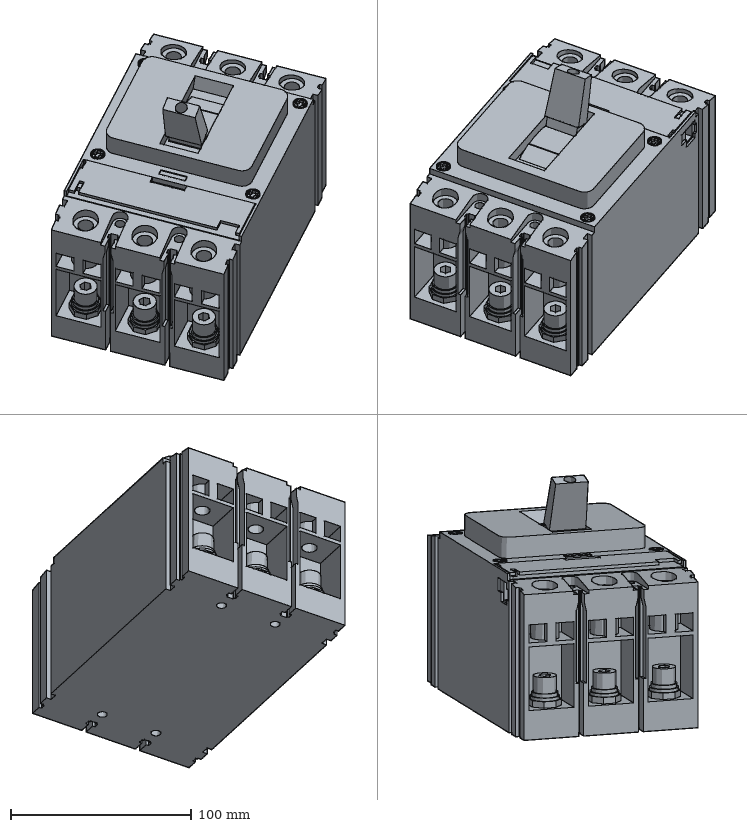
import cadquery as cq
import math


LENGTH = 165.0
WIDTH = 105.0
POLE_PITCH = WIDTH / 3
POLE_XS = (-POLE_PITCH, 0, POLE_PITCH)
GAP_XS = (-POLE_PITCH / 2, POLE_PITCH / 2)
EDGE_XS = (-WIDTH / 2, WIDTH / 2)
ENDS = (-1, 1)

DECK_Z = 90.0
DECK_HALF_LENGTH = 57.8
SHELF_Z = 86.0
SLOPE_START_Y = 65.0
END_Z = 82.8

PEDESTAL_WIDTH = 85.8
PEDESTAL_BACK_Y = 47.5
PEDESTAL_FRONT_Y = -20.8
PEDESTAL_TOP_Z = 102.0
PEDESTAL_CORNER_R = 6.0
WINDOW_WIDTH = 22.6
WINDOW_BACK_Y = 41.2
WINDOW_FRONT_Y = -15.8
WINDOW_SLOPE_RUN = 3.5
WINDOW_FLOOR_Z = 94.9

SLOT_WIDTH = 2.8
SLOT_LENGTH = 7.0
TEE_WIDTH = 6.0
TEE_LENGTH = 2.6
TIP_WIDTH = 4.0
TIP_LENGTH = 1.0
FIXING_Y = 63.0
FIXING_HOLE_D = 5.5
SIDE_GROOVE_LENGTH = 4.6
SIDE_GROOVE_DEPTH = 3.0
TROUGH_WIDTH = 8.7
TROUGH_FLOOR_Z = 80.8
BARRIER_WIDTH = 6.0
BARRIER_LENGTH = 5.5
BARRIER_FLOOR_Z = 30.2
BARRIER_SHOULDER_Z = 71.0
BARRIER_NECK_Z = 75.9
BARRIER_NECK_WIDTH = 3.6

TERMINAL_Y = 71.0
POCKET_WIDTH = 26.4
POCKET_DEPTH = 21.5
POCKET_FLOOR_Z = 16.8
POCKET_TOP_Z = 53.0
PORT_FLOOR_Z = 55.3
PORT_TOP_Z = 65.5
PORT_RIB_WIDTH = 5.5
COLUMN_R = 8.0
BORE_R = 4.3
COUNTERBORE_R = 7.1
COUNTERBORE_FLOOR_Z = 81.0
COLLAR_SIDES = 8
COLLAR_D = 18.5
COLLAR_TOP_Z = 20.5
WASHER_R = 8.1
WASHER_TOP_Z = 22.3
SPRING_R = 7.3
SPRING_TOP_Z = 24.5
STUD_R = 6.5
STUD_TOP_Z = 33.7
SOCKET_D = 6.6
SOCKET_DEPTH = 6.6

SCREW_XS = (-45.0, 46.7)
SCREW_YS = (-24.0, 52.3)
SCREW_R = 4.0
SCREW_RIM = 0.58
SCREW_RIM_DEPTH = 0.7
CROSS_SPAN = 5.0
CROSS_WIDTH = 2.1
CROSS_DEPTH = 2.0
LABEL_LENGTH = 15.5
LABEL_WIDTH = 3.5
LABEL_Y = -25.4
LABEL_DEPTH = 0.7

BAY_WIDTH = 102.0
BAY_BACK_Y = -30.7
BAY_FLOOR_Z = 86.5
COVER_THICKNESS = 1.8
COVER_BOTTOM_Z = DECK_Z - COVER_THICKNESS
COVER_FRONT_Y = -56.1
COVER_SIDE_GAP = 0.5
LATCH_NOTCH_WIDTH = 20.3
LATCH_NOTCH_LENGTH = 4.0
LATCH_WIDTH = 4.1
LATCH_R = 2.0
LATCH_TOP_Z = 87.8
EDGE_NOTCH_WIDTH = 1.8
EDGE_NOTCH_BACK_Y = -31.7
EDGE_NOTCH_LENGTH = 5.8
GUIDE_X = -45.9
GUIDE_WIDTH = 2.5
GUIDE_SLOT_BACK_Y = -47.5
GUIDE_BACK_Y = -48.2
GUIDE_LENGTH = 3.6
GUIDE_TOP_Z = 89.1
CORNER_NOTCH_X = 42.7
CORNER_NOTCH_WIDTH = 11.0
CORNER_NOTCH_BACK_Y = -50.0

CLIP_DEPTH = 1.3
CLIP_POCKET_DEPTH = 5.6
CLIP_TOP_Z = 84.3
CLIP_BACK_Y = -41.7
CLIP_FRONT_Y = -56.8
CLIP_STEP_Y = -47.2
CLIP_STEP_Z = 76.9
CLIP_BOTTOM_Z = 71.8
CLIP_EAR_Y = -58.5
CLIP_EAR_TOP_Z = 80.8
CLIP_EAR_BOTTOM_Z = 74.5
CLIP_RIM = 1.2

PIVOT_Y = 12.4
PIVOT_Z = 51.2
TILT = 17.2
DRUM_R = 47.4
DRUM_WIDTH = 20.0
SHIELD_R = 47.8
SHIELD_FRONT_Y = 20.8
LEVER_BASE_R = 53.5
LEVER_TOP_R = 82.8
NECK_START_R = 46.2
LEVER_BASE_WIDTH = 21.5
LEVER_BASE_THICKNESS = 9.9
LEVER_TOP_WIDTH = 19.1
LEVER_TOP_THICKNESS = 7.8
LEVER_HOLE_R = 3.3
LEVER_HOLE_DEPTH = 13.2


def block(x0, x1, y0, y1, z0, z1):
    """Axis-aligned box between opposite corners, given in any order."""
    size = (abs(x1 - x0), abs(y1 - y0), abs(z1 - z0))
    middle = ((x0 + x1) / 2, (y0 + y1) / 2, (z0 + z1) / 2)
    return cq.Workplane("XY").box(*size).translate(middle)


def bar(x, width, y0, y1, z0, z1):
    """Box of the given width centred on x."""
    return block(x - width / 2, x + width / 2, y0, y1, z0, z1)


def cylinder(x, y, radius, z0, z1):
    """Upright cylinder."""
    return cq.Workplane("XY", origin=(x, y, z0)).circle(radius).extrude(z1 - z0)


def profile_yz(points, width):
    """Prism of a YZ outline, centred on x = 0."""
    return cq.Workplane("YZ").polyline(points).close().extrude(width / 2, both=True)


def case_block():
    """Case with a raised deck, lower shelves and sloped terminal tops."""
    half = [
        (LENGTH / 2, 0),
        (LENGTH / 2, END_Z),
        (SLOPE_START_Y, SHELF_Z),
        (DECK_HALF_LENGTH, SHELF_Z),
        (DECK_HALF_LENGTH, DECK_Z),
    ]
    mirrored = [(-y, z) for y, z in reversed(half)]
    return profile_yz(half + mirrored, WIDTH)


def pedestal():
    """Rounded pedestal on the deck."""
    body = bar(0, PEDESTAL_WIDTH, PEDESTAL_FRONT_Y, PEDESTAL_BACK_Y, DECK_Z, PEDESTAL_TOP_Z)
    return body.edges("|Z").fillet(PEDESTAL_CORNER_R)


def toggle_window():
    """Toggle window, narrowing towards its floor at both ends."""
    outline = [
        (WINDOW_FRONT_Y, PEDESTAL_TOP_Z),
        (WINDOW_FRONT_Y + WINDOW_SLOPE_RUN, WINDOW_FLOOR_Z),
        (WINDOW_BACK_Y - WINDOW_SLOPE_RUN, WINDOW_FLOOR_Z),
        (WINDOW_BACK_Y, PEDESTAL_TOP_Z),
    ]
    return profile_yz(outline, WINDOW_WIDTH)


def tee_slot(x, end):
    """Full-height T-shaped slot running in from an end face."""
    slot_y = LENGTH / 2 - SLOT_LENGTH
    tee_y = slot_y - TEE_LENGTH
    tip_y = tee_y - TIP_LENGTH
    slot = bar(x, SLOT_WIDTH, end * slot_y, end * LENGTH / 2, 0, DECK_Z)
    tee = bar(x, TEE_WIDTH, end * tee_y, end * slot_y, 0, DECK_Z)
    tip = bar(x, TIP_WIDTH, end * tip_y, end * tee_y, 0, DECK_Z)
    return slot.union(tee).union(tip)


def barrier_widening(x, end):
    """Wider stretch of the slot between two poles, tapered at its top."""
    outline = [
        (x - BARRIER_WIDTH / 2, BARRIER_FLOOR_Z),
        (x + BARRIER_WIDTH / 2, BARRIER_FLOOR_Z),
        (x + BARRIER_WIDTH / 2, BARRIER_SHOULDER_Z),
        (x + BARRIER_NECK_WIDTH / 2, BARRIER_NECK_Z),
        (x + BARRIER_NECK_WIDTH / 2, TROUGH_FLOOR_Z),
        (x - BARRIER_NECK_WIDTH / 2, TROUGH_FLOOR_Z),
        (x - BARRIER_NECK_WIDTH / 2, BARRIER_NECK_Z),
        (x - BARRIER_WIDTH / 2, BARRIER_SHOULDER_Z),
    ]
    plane = cq.Workplane("XZ", origin=(0, end * LENGTH / 2, 0))
    return plane.polyline(outline).close().extrude(end * BARRIER_LENGTH)


def fixing_gap(x, end):
    """Fixing hole in a round-ended trough between two poles."""
    hole = cylinder(x, end * FIXING_Y, FIXING_HOLE_D / 2, 0, DECK_Z)
    trough_end = cylinder(x, end * FIXING_Y, TROUGH_WIDTH / 2, TROUGH_FLOOR_Z, DECK_Z)
    trough = bar(x, TROUGH_WIDTH, end * FIXING_Y, end * LENGTH / 2, TROUGH_FLOOR_Z, DECK_Z)
    return hole.union(trough_end).union(trough)


def side_groove(x, end):
    """Full-height groove in a side, level with the fixing holes."""
    inner_y = FIXING_Y - SIDE_GROOVE_LENGTH / 2
    outer_y = FIXING_Y + SIDE_GROOVE_LENGTH / 2
    return bar(x, 2 * SIDE_GROOVE_DEPTH, end * inner_y, end * outer_y, 0, DECK_Z)


def terminal_cavity(x, end):
    """Wiring pocket, the two ports above it and the stepped screwdriver bore."""
    y = end * TERMINAL_Y
    outer_y = end * LENGTH / 2
    inner_y = end * (LENGTH / 2 - POCKET_DEPTH)
    pocket = bar(x, POCKET_WIDTH, inner_y, outer_y, POCKET_FLOOR_Z, POCKET_TOP_Z)
    ports = (
        bar(x, POCKET_WIDTH, inner_y, outer_y, PORT_FLOOR_Z, PORT_TOP_Z)
        .cut(bar(x, PORT_RIB_WIDTH, y, outer_y, PORT_FLOOR_Z, PORT_TOP_Z))
        .cut(cylinder(x, y, COLUMN_R, PORT_FLOOR_Z, PORT_TOP_Z))
    )
    bore = cylinder(x, y, BORE_R, POCKET_TOP_Z, DECK_Z)
    counterbore = cylinder(x, y, COUNTERBORE_R, COUNTERBORE_FLOOR_Z, DECK_Z)
    return pocket.union(ports).union(bore).union(counterbore)


def terminal_stud(x, end):
    """Socket-head stud with collar and washers, standing on the pocket floor."""
    y = end * TERMINAL_Y
    collar = (
        cq.Workplane("XY", origin=(x, y, POCKET_FLOOR_Z))
        .transformed(rotate=(0, 0, 180 / COLLAR_SIDES))
        .polygon(COLLAR_SIDES, COLLAR_D)
        .extrude(COLLAR_TOP_Z - POCKET_FLOOR_Z)
    )
    socket = (
        cq.Workplane("XY", origin=(x, y, STUD_TOP_Z)).polygon(6, SOCKET_D).extrude(-SOCKET_DEPTH)
    )
    return (
        collar.union(cylinder(x, y, WASHER_R, COLLAR_TOP_Z, WASHER_TOP_Z))
        .union(cylinder(x, y, SPRING_R, WASHER_TOP_Z, SPRING_TOP_Z))
        .union(cylinder(x, y, STUD_R, SPRING_TOP_Z, STUD_TOP_Z))
        .cut(socket)
    )


def screw_marking(x, y):
    """Rim groove and cross recess of a deck screw."""
    rim_z = DECK_Z - SCREW_RIM_DEPTH
    cross_z = DECK_Z - CROSS_DEPTH
    rim = cylinder(x, y, SCREW_R, rim_z, DECK_Z).cut(
        cylinder(x, y, SCREW_R - SCREW_RIM, rim_z, DECK_Z)
    )
    across = bar(x, CROSS_SPAN, y - CROSS_WIDTH / 2, y + CROSS_WIDTH / 2, cross_z, DECK_Z)
    along = bar(x, CROSS_WIDTH, y - CROSS_SPAN / 2, y + CROSS_SPAN / 2, cross_z, DECK_Z)
    return rim.union(across).union(along)


def label_recess():
    """Shallow recess in front of the pedestal."""
    front_y = LABEL_Y - LABEL_WIDTH / 2
    back_y = LABEL_Y + LABEL_WIDTH / 2
    return bar(0, LABEL_LENGTH, front_y, back_y, DECK_Z - LABEL_DEPTH, DECK_Z)


def accessory_bay():
    """Bay for the cover, open at the front of the deck."""
    return bar(0, BAY_WIDTH, -DECK_HALF_LENGTH, BAY_BACK_Y, BAY_FLOOR_Z, DECK_Z)


def bay_latch():
    """Rounded latch on the bay floor, against its back wall."""
    return (
        cq.Workplane("YZ", origin=(0, BAY_BACK_Y - LATCH_R, LATCH_TOP_Z - LATCH_R))
        .circle(LATCH_R)
        .extrude(LATCH_WIDTH / 2, both=True)
    )


def bay_guide():
    """Guide rib on the bay floor that stands in the slot of the cover."""
    front_y = GUIDE_BACK_Y - GUIDE_LENGTH
    return bar(GUIDE_X, GUIDE_WIDTH, front_y, GUIDE_BACK_Y, BAY_FLOOR_Z, GUIDE_TOP_Z)


def clip_recess():
    """Shallow stepped recess in the -X side with a deeper pocket inside."""
    outline = [
        (CLIP_BACK_Y, CLIP_TOP_Z),
        (CLIP_FRONT_Y, CLIP_TOP_Z),
        (CLIP_FRONT_Y, CLIP_EAR_TOP_Z),
        (CLIP_EAR_Y, CLIP_EAR_TOP_Z),
        (CLIP_EAR_Y, CLIP_EAR_BOTTOM_Z),
        (CLIP_FRONT_Y, CLIP_EAR_BOTTOM_Z),
        (CLIP_FRONT_Y, CLIP_BOTTOM_Z),
        (CLIP_STEP_Y, CLIP_BOTTOM_Z),
        (CLIP_STEP_Y, CLIP_STEP_Z),
        (CLIP_BACK_Y, CLIP_STEP_Z),
    ]
    side = cq.Workplane("YZ", origin=(-WIDTH / 2, 0, 0))
    shallow = side.polyline(outline).close().extrude(CLIP_DEPTH)
    pocket = block(
        -WIDTH / 2,
        -WIDTH / 2 + CLIP_POCKET_DEPTH,
        CLIP_FRONT_Y + CLIP_RIM,
        CLIP_STEP_Y - CLIP_RIM,
        CLIP_BOTTOM_Z + CLIP_RIM,
        CLIP_TOP_Z,
    )
    return shallow.union(pocket)


def make_housing():
    """Housing with its terminals and deck details."""
    body = case_block().union(pedestal()).cut(toggle_window())
    for end in ENDS:
        for x in EDGE_XS:
            body = body.cut(tee_slot(x, end)).cut(side_groove(x, end))
        for x in GAP_XS:
            body = body.cut(tee_slot(x, end)).cut(barrier_widening(x, end)).cut(fixing_gap(x, end))
        for x in POLE_XS:
            body = body.cut(terminal_cavity(x, end)).union(terminal_stud(x, end))
    for x in SCREW_XS:
        for y in SCREW_YS:
            body = body.cut(screw_marking(x, y))
    body = body.cut(label_recess()).cut(accessory_bay()).cut(clip_recess())
    return body.union(bay_latch()).union(bay_guide())


def make_cover():
    """Flat accessory cover with notches for the latch, side edge, guide and corner."""
    half_width = BAY_WIDTH / 2 - COVER_SIDE_GAP

    def notch(x, width, y0, y1):
        return bar(x, width, y0, y1, COVER_BOTTOM_Z, DECK_Z)

    plate = notch(0, 2 * half_width, COVER_FRONT_Y, BAY_BACK_Y)
    latch_notch = notch(0, LATCH_NOTCH_WIDTH, BAY_BACK_Y - LATCH_NOTCH_LENGTH, BAY_BACK_Y)
    edge_front_y = EDGE_NOTCH_BACK_Y - EDGE_NOTCH_LENGTH
    edge_notch = notch(-BAY_WIDTH / 2, 2 * EDGE_NOTCH_WIDTH, edge_front_y, EDGE_NOTCH_BACK_Y)
    guide_slot = notch(GUIDE_X, GUIDE_WIDTH, COVER_FRONT_Y, GUIDE_SLOT_BACK_Y)
    corner_notch = notch(CORNER_NOTCH_X, CORNER_NOTCH_WIDTH, COVER_FRONT_Y, CORNER_NOTCH_BACK_Y)
    return plate.cut(latch_notch).cut(edge_notch).cut(guide_slot).cut(corner_notch)


def drum_segment(radius, y0, y1):
    """Part of the drum about the pivot that stands above the window floor."""
    drum = (
        cq.Workplane("YZ", origin=(0, PIVOT_Y, PIVOT_Z))
        .circle(radius)
        .extrude(DRUM_WIDTH / 2, both=True)
    )
    return drum.intersect(bar(0, DRUM_WIDTH, y0, y1, WINDOW_FLOOR_Z, PEDESTAL_TOP_Z))


def make_lever():
    """Tapered lever pointing radially away from the pivot, tilted to -Y."""
    height = LEVER_TOP_R - LEVER_BASE_R
    grip = (
        cq.Workplane("XY", origin=(0, 0, LEVER_BASE_R))
        .rect(LEVER_BASE_WIDTH, LEVER_BASE_THICKNESS)
        .workplane(offset=height)
        .rect(LEVER_TOP_WIDTH, LEVER_TOP_THICKNESS)
        .loft(ruled=True)
    )
    half_thickness = LEVER_TOP_THICKNESS / 2
    neck = bar(0, LEVER_TOP_WIDTH, -half_thickness, half_thickness, NECK_START_R, LEVER_BASE_R)
    hole = cylinder(0, 0, LEVER_HOLE_R, LEVER_TOP_R - LEVER_HOLE_DEPTH, LEVER_TOP_R)
    upright = grip.union(neck).cut(hole)
    return upright.rotate((0, 0, 0), (1, 0, 0), TILT).translate((0, PIVOT_Y, PIVOT_Z))


def make_toggle():
    """Toggle: drum with a slightly proud rear shield, and the lever, ending at the window floor."""
    half_chord = math.sqrt(SHIELD_R**2 - (WINDOW_FLOOR_Z - PIVOT_Z) ** 2)
    drum = drum_segment(DRUM_R, PIVOT_Y - half_chord, PIVOT_Y + half_chord)
    shield = drum_segment(SHIELD_R, SHIELD_FRONT_Y, PIVOT_Y + half_chord)
    below_floor = bar(0, WINDOW_WIDTH, WINDOW_FRONT_Y, WINDOW_BACK_Y, PIVOT_Z, WINDOW_FLOOR_Z)
    return drum.union(shield).union(make_lever().cut(below_floor))


housing = make_housing()
cover = make_cover()
toggle = make_toggle()

result = cq.Compound.makeCompound(
    [housing.solids().val(), cover.solids().val(), toggle.solids().val()]
)